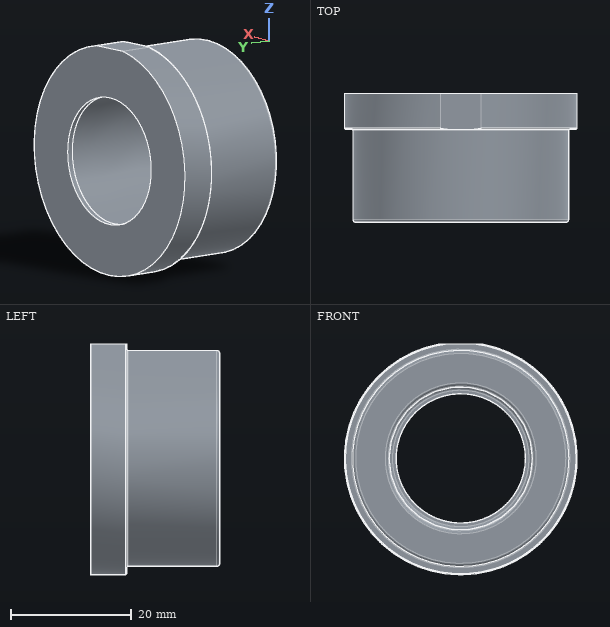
import cadquery as cq
import math

flange_diameter = 38.8
body_diameter = 36.0
bore_front_diameter = 24.15
bore_back_diameter = 23.75
lip_diameter = 21.5
total_length = 21.5
flange_thickness = 6.0
flat_width = 6.83
lip_thickness = 1.0
rim_round = 0.5
lip_round = 0.5
flange_chamfer = 0.2
shoulder_fillet = 0.2

flange_radius = flange_diameter / 2
body_radius = body_diameter / 2
bore_front_radius = bore_front_diameter / 2
bore_back_radius = bore_back_diameter / 2
lip_radius = lip_diameter / 2
back = total_length / 2
front = -back
shoulder = back - flange_thickness
lip_face = back - lip_thickness
arc_inset = 1 - math.sqrt(0.5)


def make_bushing():
    """Revolve the half section, walked from the back of the lip around the outside."""
    rim_inset = rim_round * arc_inset
    fillet_inset = shoulder_fillet * arc_inset
    lip_inset = lip_round * arc_inset
    return (
        cq.Workplane("XY")
        .moveTo(lip_radius, back)
        .lineTo(flange_radius, back)
        .lineTo(flange_radius, shoulder + flange_chamfer)
        .lineTo(flange_radius - flange_chamfer, shoulder)
        .lineTo(body_radius + shoulder_fillet, shoulder)
        .threePointArc(
            (body_radius + fillet_inset, shoulder - fillet_inset),
            (body_radius, shoulder - shoulder_fillet),
        )
        .lineTo(body_radius, front + rim_round)
        .threePointArc((body_radius - rim_inset, front + rim_inset), (body_radius - rim_round, front))
        .lineTo(bore_front_radius + rim_round, front)
        .threePointArc(
            (bore_front_radius + rim_inset, front + rim_inset),
            (bore_front_radius, front + rim_round),
        )
        .lineTo(bore_back_radius, lip_face - lip_round)
        .threePointArc(
            (bore_back_radius - lip_inset, lip_face - lip_inset),
            (bore_back_radius - lip_round, lip_face),
        )
        .lineTo(lip_radius, lip_face)
        .close()
        .revolve(360, (0, 0, 0), (0, 1, 0))
    )


def cut_flat(bushing):
    """Cut the flat on the top of the flange."""
    flat_height = math.sqrt(flange_radius**2 - (flat_width / 2) ** 2)
    cutter = cq.Workplane("XY").box(
        flange_diameter, total_length, flange_diameter, centered=(True, True, False)
    )
    return bushing.cut(cutter.translate((0, 0, flat_height)))


result = cut_flat(make_bushing())